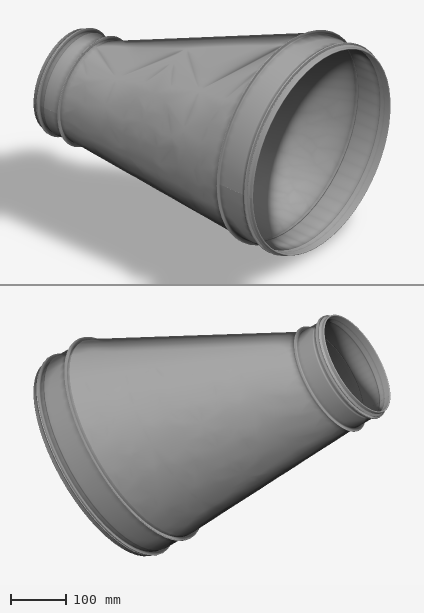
import cadquery as cq
import math

LENGTH = 507.0
SHEET = 0.5
SMALL_OD = 199.0
LARGE_OD = 398.5
LARGE_FLANGE_D = 413.5
SMALL_AXIS_Y = (SMALL_OD - LARGE_OD) / 2

SEAM_X_SMALL = 62.5
SEAM_X_LARGE = 76.5
NECK = 6.0
SLEEVE_FLANGE = (LARGE_FLANGE_D - LARGE_OD) / 2
CONE_FLANGE = 6.0
FLANGE_BEND = 2.5
STEP_START = 22.0
STEP_END = 26.0
SEAT_DROP = 1.8
PINCH_DROP = 0.5
PINCH_END = 11.5
PINCH_SLOPE = 2.5
HEM_END = 6.0
HEM_WIDTH = SEAT_DROP + PINCH_DROP + SHEET
HEM_RADIUS = HEM_WIDTH / 2
SLIT = 0.1

FOOT_RISE = 0.5
LIP_START = 6.5
LIP_TIP = 9.5, 2.8
LIP_INNER_TIP = 10.5, 1.5
LIP_FOOT = 8.5
DISC_START = 13.0
DISC_THICKNESS = 2.0
SMALL_DISC_D = 209.5
DISC_HEIGHT = (SMALL_DISC_D - SMALL_OD) / 2
DISC_TIP_SLANT = 0.25


def revolve_about_x(profile, open_angle=0):
    """Turn an (x, radius) profile about the X axis, leaving any open angle on the -Y side."""
    ring = profile.close().revolve(360 - open_angle, (0, 0, 0), (1, 0, 0))
    return ring.rotate((0, 0, 0), (1, 0, 0), 180 + open_angle / 2)


def sleeve(outer_d, seam_x):
    """Rolled sleeve with its open end at X = 0."""
    full = outer_d / 2
    seat = full - SEAT_DROP
    pinch = seat - PINCH_DROP
    bend_x = seam_x - FLANGE_BEND
    middle_x = (STEP_START + STEP_END) / 2
    middle_r = full - SEAT_DROP / 2
    hem_axis_r = full - HEM_RADIUS
    profile = (
        cq.Workplane("XY")
        .moveTo(HEM_RADIUS, pinch - SHEET)
        .lineTo(PINCH_END, pinch - SHEET)
        .lineTo(PINCH_END + PINCH_SLOPE, seat - SHEET)
        .lineTo(STEP_START, seat - SHEET)
        .tangentArcPoint((middle_x, middle_r - SHEET), relative=False)
        .tangentArcPoint((STEP_END, full - SHEET), relative=False)
        .lineTo(bend_x, full - SHEET)
        .tangentArcPoint((seam_x, full - SHEET + FLANGE_BEND), relative=False)
        .lineTo(seam_x, full + SLEEVE_FLANGE)
        .lineTo(seam_x - SHEET, full + SLEEVE_FLANGE)
        .lineTo(seam_x - SHEET, full - SHEET + FLANGE_BEND)
        .tangentArcPoint((bend_x, full), relative=False)
        .lineTo(STEP_END, full)
        .tangentArcPoint((middle_x, middle_r), relative=False)
        .tangentArcPoint((STEP_START, seat), relative=False)
        .lineTo(PINCH_END + PINCH_SLOPE, seat)
        .lineTo(PINCH_END, pinch)
        .lineTo(HEM_RADIUS, pinch)
        .threePointArc((SHEET, hem_axis_r), (HEM_RADIUS, full - SHEET))
        .lineTo(HEM_END, full - SHEET)
        .lineTo(HEM_END, full)
        .lineTo(HEM_RADIUS, full)
        .threePointArc((0, hem_axis_r), (HEM_RADIUS, pinch - SHEET))
    )
    return revolve_about_x(profile, math.degrees(SLIT / full))


def gasket(outer_d):
    """Rubber ring with a leaning lip and an upright disc lip."""
    full = outer_d / 2
    seat = full - SEAT_DROP
    pinch = seat - PINCH_DROP
    root_r = full - SHEET
    foot_r = seat + FOOT_RISE
    disc_end = DISC_START + DISC_THICKNESS
    tip_x, tip_height = LIP_TIP
    inner_tip_x, inner_tip_height = LIP_INNER_TIP
    profile = (
        cq.Workplane("XY")
        .moveTo(HEM_RADIUS, pinch)
        .lineTo(PINCH_END, pinch)
        .lineTo(PINCH_END + PINCH_SLOPE, seat)
        .lineTo(disc_end, seat)
        .lineTo(disc_end, full + DISC_HEIGHT)
        .lineTo(DISC_START, full + DISC_HEIGHT - DISC_TIP_SLANT)
        .lineTo(DISC_START, foot_r)
        .lineTo(LIP_FOOT, foot_r)
        .lineTo(inner_tip_x, full + inner_tip_height)
        .lineTo(tip_x, full + tip_height)
        .lineTo(LIP_START, root_r)
        .lineTo(HEM_RADIUS, root_r)
        .threePointArc((SHEET, full - HEM_RADIUS), (HEM_RADIUS, pinch))
    )
    return revolve_about_x(profile)


def cone_envelope(inset):
    """Solid neck, slanted cone and neck, with every radius smaller by the inset."""
    small_r = SMALL_OD / 2 - inset
    large_r = LARGE_OD / 2 - inset
    small_x = SEAM_X_SMALL
    large_x = LENGTH - SEAM_X_LARGE
    plane = cq.Workplane("YZ", origin=(small_x + NECK, 0, 0))
    slant = large_x - small_x - 2 * NECK
    cone = (
        plane.center(SMALL_AXIS_Y, 0).circle(small_r)
        .workplane(offset=slant).center(-SMALL_AXIS_Y, 0).circle(large_r)
        .loft(ruled=True)
    )
    small_neck = cq.Workplane("YZ", origin=(small_x, SMALL_AXIS_Y, 0)).circle(small_r).extrude(NECK)
    large_neck = cq.Workplane("YZ", origin=(large_x, 0, 0)).circle(large_r).extrude(-NECK)
    return cone.union(small_neck).union(large_neck)


def cone_body():
    """Slanted cone shell with a neck and a flange at each end."""
    small_flange = (
        cq.Workplane("YZ", origin=(SEAM_X_SMALL, SMALL_AXIS_Y, 0))
        .circle(SMALL_OD / 2 + CONE_FLANGE).extrude(SHEET)
    )
    large_flange = (
        cq.Workplane("YZ", origin=(LENGTH - SEAM_X_LARGE, 0, 0))
        .circle(LARGE_OD / 2 + CONE_FLANGE).extrude(-SHEET)
    )
    return cone_envelope(0).union(small_flange).union(large_flange).cut(cone_envelope(SHEET))


def at_small_end(part):
    return part.translate((0, SMALL_AXIS_Y, 0))


def at_large_end(part):
    return part.mirror("YZ").translate((LENGTH, 0, 0))


cone = cone_body()
small_sleeve = at_small_end(sleeve(SMALL_OD, SEAM_X_SMALL))
large_sleeve = at_large_end(sleeve(LARGE_OD, SEAM_X_LARGE))
small_gasket = at_small_end(gasket(SMALL_OD))
large_gasket = at_large_end(gasket(LARGE_OD))

result = cq.Compound.makeCompound([
    cone.val(),
    small_sleeve.val(),
    large_sleeve.val(),
    small_gasket.val(),
    large_gasket.val(),
])